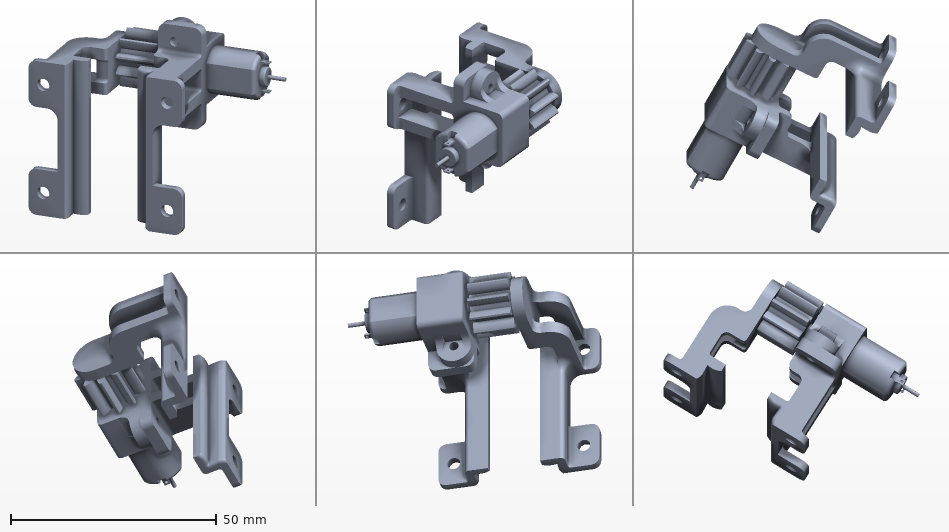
import cadquery as cq
import math


OVERALL_LENGTH = 56.9

FRONT_Y = -26.1
FOOT_BOTTOM = -34.0
ARM_HALF = 6.0
FLANGE_X = 20.2
FLANGE_THICK = 2.0
FLANGE_HEIGHT = 2 * ARM_HALF
FLANGE_CORNER = 2.05
FLANGE_BACK = FRONT_Y + FLANGE_THICK
FLANGE_HOLE_X = 16.35
FLANGE_HOLE_DIA = 3.2
LOWER_HOLE_Z = FOOT_BOTTOM + FLANGE_HEIGHT / 2
ROOT_FILLET = 0.8
PLATE_X = 12.5
PLATE_BACK = -19.35
PLATE_CORNER = 1.15
LIP_X = 6.55
LIP_END_Y = -21.3
LIP_ROOT = (10.25, -21.75)
LIP_SAG = (8.4, -21.9)
CHEEK_BULGE = (10.05, -24.45)
CHEEK_SAG = (10.3, -25.4)
CHEEK_X = 10.7
LIP_ROOT_ROUND = 0.1
LIP_ROUND = 0.9
ARM_PLATE_FILLET = 2.95

OPENING_X = PLATE_X - PLATE_CORNER
OPENING_BACK = -12.1
OPENING_ROUND = 1.65
OPENING_ROOT = 0.7
SLOT_HALF = 2.95
SLOT_COVE = 0.9

LEFT_WALL_X = 16.35
DISK_INNER_X = 5.45
DISK_THICK = 3.0
WEB_FRONT = -11.1
DISK_OUTER_X = DISK_INNER_X + DISK_THICK
SHOULDER_Y = -5.8
SHOULDER_RADIUS = 5.0
SHOULDER_ROOT = 2.0
TINE_TOE = 0.8

RIGHT_WALL_X = 17.9
HOUSING_X = 6.45
HOUSING_LENGTH = RIGHT_WALL_X - HOUSING_X
HOUSING_HALF = 7.5
HOUSING_BACK = 6.5
HOUSING_CORNER = 1.5
RIGHT_TOE = 1.75
EAR_HALF = 13.2
EAR_FRONT = -8.0
EAR_FILLET = 0.9
EAR_HOLE_DIA = 2.4
EAR_HOLE_X = 10.7
EAR_HOLE_Z = 8.9
BOSS_RADIUS = EAR_HALF - EAR_HOLE_Z
BOSS_BACK = -2.05
BOSS_COVE = 2.95
NOTCH_FLOOR = 7.4
NOTCH_HALF = 2.15
NOTCH_SPREAD = 1.0

MOTOR_FLAT = 5.0
MOTOR_END = 30.6
MOTOR_END_ROUND = 1.0
BEARING_X = 6.0
BEARING_RADIUS = 2.0
SHAFT_RADIUS = 1.5
SHAFT_FLAT = 1.2
SHAFT_END = -3.6
REAR_BOSS_RADIUS = 2.5
REAR_BOSS_END = 32.1
REAR_BOSS_ROUND = 0.35
REAR_SHAFT_RADIUS = 0.5
REAR_SHAFT_END = OVERALL_LENGTH - FLANGE_X
TAB_Z = 3.5
TAB_THICK = 0.45
TAB_WIDTH = 1.5
TAB_END = 32.6
TAB_HOLE_X = 31.9
TAB_HOLE_DIA = 0.7
TAB_NOTCH_X = 29.15
TAB_NOTCH_WIDTH = 2.05

TEETH = 10
GEAR_HALF = 5.1
TIP_RADIUS = 7.5
TIP_HALF = 0.2
FLANK_RADIUS = 6.15
FLANK_HALF = 0.9
ROOT_RADIUS = 4.9
ROOT_HALF = 0.9
JOURNAL_DEPTH = 2.0


def block(x, y, z):
    """Box from three (low, high) ranges."""
    size = [high - low for low, high in (x, y, z)]
    return cq.Workplane("XY").box(*size, centered=False).translate((x[0], y[0], z[0]))


def rod(radius, x0, x1):
    """Cylinder along the X axis."""
    return cq.Workplane("YZ", origin=(x0, 0, 0)).circle(radius).extrude(x1 - x0)


def cove(plane, origin, radius, length, u, v):
    """Concave fillet: fills the corner at the origin towards (u, v), each +1 or -1."""
    mid = radius * (1 - math.sqrt(0.5))
    return (
        cq.Workplane(plane, origin=origin)
        .lineTo(u * radius, 0)
        .threePointArc((u * mid, v * mid), (0, v * radius))
        .close()
        .extrude(length)
    )


def column(outline, z0, z1):
    """Upright prism of an outline drawn in XY."""
    return outline.close().extrude(z1 - z0).translate((0, 0, z0))


def upright_plate():
    outline = (
        cq.Workplane("XY")
        .moveTo(PLATE_X, FRONT_Y)
        .lineTo(PLATE_X, PLATE_BACK - PLATE_CORNER)
        .radiusArc((OPENING_X, PLATE_BACK), -PLATE_CORNER)
        .lineTo(LIP_X, PLATE_BACK)
        .lineTo(LIP_X, LIP_END_Y)
        .threePointArc(LIP_SAG, LIP_ROOT)
        .lineTo(*CHEEK_BULGE)
        .threePointArc(CHEEK_SAG, (CHEEK_X, FRONT_Y))
    )
    return column(outline, FOOT_BOTTOM, ARM_HALF)


def flange(center_z):
    half = FLANGE_HEIGHT / 2
    plate = block((PLATE_X, FLANGE_X), (FRONT_Y, FLANGE_BACK), (center_z - half, center_z + half))
    return plate.edges("|Y and >X").fillet(FLANGE_CORNER)


def root_fillet(wall_x, z0, z1):
    return cove("XY", (wall_x, FLANGE_BACK, z0), ROOT_FILLET, z1 - z0, 1, 1)


def flange_holes():
    return (
        cq.Workplane("XZ", origin=(0, FLANGE_BACK, 0))
        .pushPoints([(FLANGE_HOLE_X, 0), (FLANGE_HOLE_X, LOWER_HOLE_Z)])
        .circle(FLANGE_HOLE_DIA / 2)
        .extrude(FLANGE_THICK)
    )


def corner_cove():
    """Fillet under the arm that follows the plate's rounded rear corner."""
    radius = ARM_PLATE_FILLET
    mid = radius * (1 - math.sqrt(0.5))
    center = (OPENING_X, PLATE_BACK - PLATE_CORNER, -ARM_HALF)
    return (
        cq.Workplane("XZ", origin=center)
        .lineTo(PLATE_CORNER + radius, 0)
        .threePointArc((PLATE_CORNER + mid, -mid), (PLATE_CORNER, -radius))
        .lineTo(0, -radius)
        .close()
        .revolve(90, (0, 0), (0, 1))
    )


def foot(plate):
    """Plate with its two flanges and the fillets that tie it to the arm above."""
    body = plate.union(flange(0)).union(flange(LOWER_HOLE_Z))
    body = body.union(root_fillet(PLATE_X, FOOT_BOTTOM, FOOT_BOTTOM + FLANGE_HEIGHT))
    body = body.union(root_fillet(PLATE_X, -SLOT_HALF, SLOT_HALF))
    body = body.union(
        cove("XZ", (PLATE_X, PLATE_BACK - PLATE_CORNER, -ARM_HALF), ARM_PLATE_FILLET,
             PLATE_BACK - PLATE_CORNER - FRONT_Y, 1, -1)
    )
    return body.union(corner_cove())


def arm_outline(wall_x, toe_x, toe_radius):
    """Outline from the mounting face round the C-shaped opening, ending on the inner wall."""
    return (
        cq.Workplane("XY")
        .moveTo(wall_x, FRONT_Y)
        .lineTo(PLATE_X, FRONT_Y)
        .lineTo(PLATE_X, PLATE_BACK - PLATE_CORNER)
        .lineTo(OPENING_X, PLATE_BACK - PLATE_CORNER)
        .lineTo(OPENING_X, PLATE_BACK)
        .lineTo(OPENING_X - OPENING_ROOT, PLATE_BACK)
        .radiusArc((OPENING_X, PLATE_BACK + OPENING_ROOT), -OPENING_ROOT)
        .lineTo(OPENING_X, OPENING_BACK - OPENING_ROUND)
        .radiusArc((OPENING_X - OPENING_ROUND, OPENING_BACK), -OPENING_ROUND)
        .lineTo(toe_x + toe_radius, OPENING_BACK)
        .radiusArc((toe_x, OPENING_BACK + toe_radius), toe_radius)
    )


def arm_slot(wall_x, inner_x, back_y):
    """Slot between the tines, with coved rear corners, reaching the flange in front."""
    rear = block((inner_x, wall_x), (PLATE_BACK, back_y), (-SLOT_HALF, SLOT_HALF))
    rear = rear.edges("|X and >Y").fillet(SLOT_COVE)
    front = block((OPENING_X, wall_x), (FLANGE_BACK, PLATE_BACK), (-SLOT_HALF, SLOT_HALF))
    return rear.union(front)


def left_arm():
    outline = (
        arm_outline(LEFT_WALL_X, DISK_INNER_X, TINE_TOE)
        .lineTo(DISK_INNER_X, 0)
        .lineTo(DISK_OUTER_X, 0)
        .lineTo(DISK_OUTER_X, SHOULDER_Y + SHOULDER_ROOT)
        .radiusArc((DISK_OUTER_X + SHOULDER_ROOT, SHOULDER_Y), -SHOULDER_ROOT)
        .lineTo(LEFT_WALL_X - SHOULDER_RADIUS, SHOULDER_Y)
        .radiusArc((LEFT_WALL_X, SHOULDER_Y - SHOULDER_RADIUS), SHOULDER_RADIUS)
    )
    side_pocket = block((DISK_OUTER_X, LEFT_WALL_X), (PLATE_BACK, 0), (-SLOT_HALF, SLOT_HALF))
    side_pocket = side_pocket.edges("|Y and <X").fillet(SLOT_COVE)
    slot = arm_slot(LEFT_WALL_X, DISK_INNER_X, WEB_FRONT).union(side_pocket)
    arm = column(outline, -ARM_HALF, ARM_HALF).cut(slot)
    arm = arm.union(root_fillet(LEFT_WALL_X, SLOT_HALF, ARM_HALF))
    arm = arm.union(root_fillet(LEFT_WALL_X, -ARM_HALF, -SLOT_HALF))
    return arm.union(rod(ARM_HALF, DISK_INNER_X, DISK_OUTER_X))


def make_left_bracket():
    recess = rod(SHAFT_RADIUS, DISK_INNER_X, DISK_INNER_X + JOURNAL_DEPTH)
    body = foot(upright_plate()).union(left_arm()).cut(flange_holes()).cut(recess)
    return body.mirror("YZ")


def right_plate():
    """Upright plate with the lip and inner wall rounded over at both ends."""
    inner_corner = cq.selectors.NearestToPointSelector((*LIP_ROOT, 0))
    plate = upright_plate().edges("|Z").edges(inner_corner).fillet(LIP_ROOT_ROUND)
    margin = 0.05
    rounded_side = cq.selectors.BoxSelector(
        (LIP_X + margin, FRONT_Y + margin, FOOT_BOTTOM - margin),
        (CHEEK_X, LIP_END_Y, ARM_HALF + margin),
    )
    return plate.faces("<Z or >Z").edges(rounded_side).fillet(LIP_ROUND)


def right_arm():
    outline = (
        arm_outline(RIGHT_WALL_X, HOUSING_X, RIGHT_TOE)
        .lineTo(HOUSING_X, -MOTOR_FLAT)
        .lineTo(RIGHT_WALL_X, -MOTOR_FLAT)
    )
    arm = column(outline, -ARM_HALF, ARM_HALF).cut(arm_slot(RIGHT_WALL_X, HOUSING_X, EAR_FRONT))
    arm = arm.union(root_fillet(RIGHT_WALL_X, SLOT_HALF, ARM_HALF))
    return arm.union(root_fillet(RIGHT_WALL_X, -ARM_HALF, -SLOT_HALF))


def ear_plate():
    span = (-EAR_HALF, EAR_HALF)
    plate = block((HOUSING_X, RIGHT_WALL_X), (EAR_FRONT, -MOTOR_FLAT), span)
    plate = plate.edges("|Y").fillet(FLANGE_CORNER)
    for side in (1, -1):
        origin = (HOUSING_X, EAR_FRONT, side * ARM_HALF)
        plate = plate.union(cove("YZ", origin, EAR_FILLET, HOUSING_LENGTH, -1, side))
    return plate


def ear_boss():
    """Round-topped boss behind the upper ear, swept down to the housing, and the notch to cut in it."""
    sweep_end = BOSS_BACK + BOSS_COVE
    sweep_top = HOUSING_HALF + BOSS_COVE
    outer_x = EAR_HOLE_X + BOSS_RADIUS
    boss = (
        cq.Workplane("XZ", origin=(0, sweep_end, 0))
        .moveTo(EAR_HOLE_X - BOSS_RADIUS, ARM_HALF)
        .lineTo(EAR_HOLE_X - BOSS_RADIUS, EAR_HOLE_Z)
        .threePointArc((EAR_HOLE_X, EAR_HALF), (outer_x, EAR_HOLE_Z))
        .lineTo(outer_x, ARM_HALF)
        .close()
        .extrude(sweep_end + MOTOR_FLAT)
    )
    above = block((0, RIGHT_WALL_X), (BOSS_BACK, sweep_end), (sweep_top, EAR_HALF))
    hollow = (
        cq.Workplane("YZ")
        .center(sweep_end, sweep_top)
        .circle(BOSS_COVE)
        .extrude(RIGHT_WALL_X)
    )
    notch = (
        cq.Workplane("XZ", origin=(EAR_HOLE_X, sweep_end, 0))
        .moveTo(-NOTCH_HALF, NOTCH_FLOOR)
        .lineTo(NOTCH_HALF, NOTCH_FLOOR)
        .lineTo(NOTCH_HALF + NOTCH_SPREAD, sweep_top)
        .lineTo(-NOTCH_HALF - NOTCH_SPREAD, sweep_top)
        .close()
        .extrude(BOSS_COVE)
    )
    overhang = block((0, HOUSING_X), (BOSS_BACK, sweep_end), (0, EAR_HALF))
    return boss.cut(above).cut(hollow).cut(overhang), notch


def make_right_bracket():
    housing = block(
        (HOUSING_X, RIGHT_WALL_X), (-MOTOR_FLAT, HOUSING_BACK), (-HOUSING_HALF, HOUSING_HALF)
    )
    housing = housing.edges("|X and >Y").fillet(HOUSING_CORNER)
    boss, notch = ear_boss()
    body = foot(right_plate()).union(right_arm()).union(ear_plate()).union(housing)
    for part, cut in ((boss, notch), (boss.mirror("XY"), notch.mirror("XY"))):
        body = body.union(part).cut(cut)
    screw_holes = (
        cq.Workplane("XZ", origin=(0, HOUSING_BACK, 0))
        .pushPoints([(EAR_HOLE_X, EAR_HOLE_Z), (EAR_HOLE_X, -EAR_HOLE_Z)])
        .circle(EAR_HOLE_DIA / 2)
        .extrude(HOUSING_BACK - EAR_FRONT)
    )
    return body.cut(flange_holes()).cut(screw_holes).cut(gearbox())


def gearbox():
    return block(
        (HOUSING_X, RIGHT_WALL_X), (-MOTOR_FLAT, MOTOR_FLAT), (-ARM_HALF, ARM_HALF)
    )


def drive_shaft():
    shaft = rod(SHAFT_RADIUS, SHAFT_END, BEARING_X)
    flat = block(
        (SHAFT_END, BEARING_X), (-SHAFT_RADIUS, SHAFT_RADIUS), (-SHAFT_RADIUS, -SHAFT_FLAT)
    )
    return shaft.cut(flat)


def motor_can():
    can = rod(ARM_HALF, RIGHT_WALL_X, MOTOR_END)
    flats = block((RIGHT_WALL_X, MOTOR_END), (-MOTOR_FLAT, MOTOR_FLAT), (-ARM_HALF, ARM_HALF))
    return can.intersect(flats).faces(">X").edges().fillet(MOTOR_END_ROUND)


def terminal():
    tab = block((MOTOR_END, TAB_END), (-TAB_WIDTH / 2, TAB_WIDTH / 2), (TAB_Z, TAB_Z + TAB_THICK))
    hole = cq.Workplane("XY").center(TAB_HOLE_X, 0).circle(TAB_HOLE_DIA / 2).extrude(ARM_HALF)
    return tab.cut(hole)


def make_motor():
    rear_boss = rod(REAR_BOSS_RADIUS, MOTOR_END, REAR_BOSS_END)
    rear_boss = rear_boss.faces(">X").edges().fillet(REAR_BOSS_ROUND)
    notch = block(
        (TAB_NOTCH_X, MOTOR_END),
        (-TAB_NOTCH_WIDTH / 2, TAB_NOTCH_WIDTH / 2),
        (TAB_Z + TAB_THICK, ARM_HALF),
    )
    body = gearbox().union(motor_can()).cut(notch).cut(notch.mirror("XY"))
    body = body.union(rod(BEARING_RADIUS, BEARING_X, HOUSING_X)).union(drive_shaft())
    body = body.union(rear_boss).union(rod(REAR_SHAFT_RADIUS, REAR_BOSS_END, REAR_SHAFT_END))
    return body.union(terminal()).union(terminal().mirror("XY"))


def tooth():
    """Pointed tooth on the +Z side with convex flanks."""
    return (
        cq.Workplane("YZ", origin=(-GEAR_HALF, 0, 0))
        .moveTo(-ROOT_HALF, 0)
        .lineTo(-ROOT_HALF, ROOT_RADIUS)
        .threePointArc((-FLANK_HALF, FLANK_RADIUS), (-TIP_HALF, TIP_RADIUS))
        .lineTo(TIP_HALF, TIP_RADIUS)
        .threePointArc((FLANK_HALF, FLANK_RADIUS), (ROOT_HALF, ROOT_RADIUS))
        .lineTo(ROOT_HALF, 0)
        .close()
        .extrude(2 * GEAR_HALF)
    )


def make_gear():
    body = rod(ROOT_RADIUS, -GEAR_HALF, GEAR_HALF)
    for index in range(TEETH):
        body = body.union(tooth().rotate((0, 0, 0), (1, 0, 0), index * 360 / TEETH))
    journal = rod(SHAFT_RADIUS, -DISK_INNER_X - JOURNAL_DEPTH, -GEAR_HALF)
    return body.union(journal).cut(drive_shaft())


left_bracket = make_left_bracket()
right_bracket = make_right_bracket()
motor = make_motor()
gear = make_gear()

bodies = [left_bracket, right_bracket, motor, gear]
result = cq.Compound.makeCompound([body.solids().val() for body in bodies])